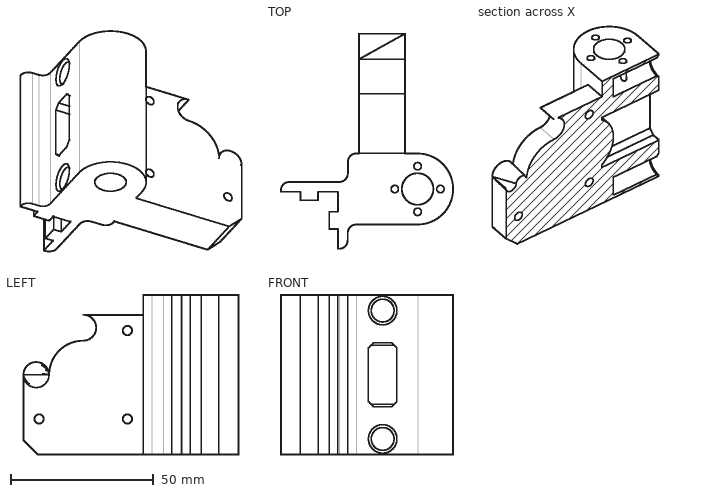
import cadquery as cq


HEIGHT = 56.0
MID_HEIGHT = HEIGHT / 2
BODY_RADIUS = 12.5
BODY_LEFT = -24.5
BORE_DIAMETER = 11.0
PIN_DIAMETER = 2.6
PIN_CIRCLE_RADIUS = 8.0
PIN_COUNT = 4
PIN_DEPTH = 10.0

FLANGE_THICKNESS = 3.5
FLANGE_LENGTH = 20.0
FLANGE_TOP = 2.5
FILLET_RADIUS = 3.0
CORNER_X = BODY_LEFT - FLANGE_THICKNESS
CORNER_Y = FLANGE_TOP - FLANGE_THICKNESS
KEY_WIDTH = 6.2
KEY_DEPTH = 3.0
KEY_OFFSET = FLANGE_LENGTH / 2

FRONT_X = BODY_LEFT / 2
SCREW_DIAMETER = 8.0
SCREW_CHAMFER = 1.0
SCREW_DEPTH = 20.0
SCREW_SPACING = 45.0
WINDOW_WIDTH = 10.0
WINDOW_HEIGHT = 22.6
WINDOW_CHAMFER = 1.9
CORE_RADIUS = 13.0
CORE_HALF_HEIGHT = 10.4

PLATE_LEFT = -20.6
PLATE_THICKNESS = 16.2
PLATE_HEIGHT = 49.0
PLATE_BACK = 54.5
PLATE_CHAMFER = 5.0
MOTOR_Y = 33.5
MOTOR_HOLE_SPACING = 31.0
MOTOR_HOLE_DIAMETER = 3.2
HOOK_RADIUS = 4.5
SWEEP_RADIUS = 12.0
TIP_RADIUS = 4.5
APEX_RADIUS = 0.01


def make_body():
    """Round-ended body with its two flanges, keys and vertical bore."""
    block = cq.Workplane("XY").rect(-BODY_LEFT, 2 * BODY_RADIUS).extrude(HEIGHT)
    block = block.translate((BODY_LEFT / 2, 0, 0))
    block = block.union(cq.Workplane("XY").circle(BODY_RADIUS).extrude(HEIGHT))

    outer_x = CORNER_X - FLANGE_LENGTH
    outer_y = CORNER_Y - FLANGE_LENGTH
    flanges = (
        cq.Workplane("XY")
        .moveTo(outer_x, CORNER_Y)
        .lineTo(CORNER_X, CORNER_Y)
        .lineTo(CORNER_X, outer_y)
        .lineTo(BODY_LEFT, outer_y)
        .lineTo(BODY_LEFT, FLANGE_TOP)
        .lineTo(outer_x, FLANGE_TOP)
        .close()
        .extrude(HEIGHT)
    )
    body = block.union(flanges).clean()

    rounded_corners = [
        (outer_x, FLANGE_TOP),
        (BODY_LEFT, FLANGE_TOP),
        (BODY_LEFT, BODY_RADIUS),
        (BODY_LEFT, -BODY_RADIUS),
        (BODY_LEFT, outer_y),
    ]
    for x, y in rounded_corners:
        corner_edge = cq.selectors.NearestToPointSelector((x, y, MID_HEIGHT))
        body = body.edges("|Z").edges(corner_edge).fillet(FILLET_RADIUS)

    long_key = cq.Workplane("XY").center(CORNER_X - KEY_OFFSET, CORNER_Y - KEY_DEPTH / 2)
    body = body.union(long_key.rect(KEY_WIDTH, KEY_DEPTH).extrude(HEIGHT))
    side_key = cq.Workplane("XY").center(CORNER_X - KEY_DEPTH / 2, CORNER_Y - KEY_OFFSET)
    body = body.union(side_key.rect(KEY_DEPTH, KEY_WIDTH).extrude(HEIGHT))

    return body.cut(cq.Workplane("XY").circle(BORE_DIAMETER / 2).extrude(HEIGHT))


def make_pin_holes():
    """Blind holes spaced around the bore, sunk from the top face."""
    return (
        cq.Workplane("XY", origin=(0, 0, HEIGHT))
        .polarArray(PIN_CIRCLE_RADIUS, 0, 360, PIN_COUNT)
        .circle(PIN_DIAMETER / 2)
        .extrude(-PIN_DEPTH)
    )


def front_plane():
    """Plane on the front face of the body; its positive extrusions point outward."""
    return cq.Workplane("XZ", origin=(FRONT_X, -BODY_RADIUS, MID_HEIGHT))


def make_screw_holes():
    """Two blind holes with countersunk mouths in the front face."""
    centres = [(0, -SCREW_SPACING / 2), (0, SCREW_SPACING / 2)]
    radius = SCREW_DIAMETER / 2
    holes = front_plane().pushPoints(centres).circle(radius).extrude(-SCREW_DEPTH)
    for x, z in centres:
        mouth = (
            front_plane()
            .center(x, z)
            .circle(radius + SCREW_CHAMFER)
            .workplane(offset=-SCREW_CHAMFER)
            .circle(radius)
            .loft()
        )
        holes = holes.union(mouth)
    return holes


def make_window():
    """Octagonal window as deep as the body, with a rounded core bulging from its floor."""
    depth = 2 * BODY_RADIUS
    window = front_plane().rect(WINDOW_WIDTH, WINDOW_HEIGHT).extrude(-depth)
    window = window.edges("|Y").chamfer(WINDOW_CHAMFER)
    core = (
        cq.Workplane("YZ", origin=(FRONT_X, 0, MID_HEIGHT))
        .moveTo(BODY_RADIUS, -CORE_HALF_HEIGHT)
        .radiusArc((BODY_RADIUS, CORE_HALF_HEIGHT), CORE_RADIUS)
        .close()
        .extrude(WINDOW_WIDTH, both=True)
    )
    return window.cut(core)


def half_disc(x, y, radius, bulge):
    """Half-disc outline across X, standing on the mid-height plane."""
    return (
        cq.Workplane("YZ", origin=(x, y, MID_HEIGHT))
        .moveTo(-radius, 0)
        .threePointArc((0, bulge * radius), (radius, 0))
        .close()
        .wires()
        .val()
    )


def half_cone(base_x, apex_x, apex_y, bulge):
    """Half of an oblique cone lying on the mid-height plane; bulge is +1 up or -1 down."""
    base = half_disc(base_x, PLATE_BACK - TIP_RADIUS, TIP_RADIUS, bulge)
    apex = half_disc(apex_x, apex_y, APEX_RADIUS, bulge)
    return cq.Workplane(cq.Solid.makeLoft([base, apex], True))


def make_plate():
    """Motor plate with a hooked upper edge, twisted cone tip and screw holes."""
    hook_bottom = PLATE_HEIGHT - 2 * HOOK_RADIUS
    hook_mid = PLATE_HEIGHT - HOOK_RADIUS
    plate = (
        cq.Workplane("YZ", origin=(PLATE_LEFT, 0, 0))
        .moveTo(BODY_RADIUS, 0)
        .lineTo(PLATE_BACK - PLATE_CHAMFER, 0)
        .lineTo(PLATE_BACK, PLATE_CHAMFER)
        .lineTo(PLATE_BACK, MID_HEIGHT)
        .lineTo(MOTOR_Y + SWEEP_RADIUS, MID_HEIGHT)
        .radiusArc((MOTOR_Y, hook_bottom), -SWEEP_RADIUS)
        .threePointArc((MOTOR_Y - HOOK_RADIUS, hook_mid), (MOTOR_Y, PLATE_HEIGHT))
        .lineTo(BODY_RADIUS, PLATE_HEIGHT)
        .close()
        .extrude(PLATE_THICKNESS)
    )

    plate_right = PLATE_LEFT + PLATE_THICKNESS
    plate = plate.cut(half_cone(PLATE_LEFT, plate_right, PLATE_BACK - APEX_RADIUS, -1))
    plate = plate.union(half_cone(plate_right, PLATE_LEFT, MOTOR_Y + SWEEP_RADIUS + APEX_RADIUS, 1))

    half = MOTOR_HOLE_SPACING / 2
    holes = (
        cq.Workplane("YZ", origin=(PLATE_LEFT, MOTOR_Y, MID_HEIGHT))
        .pushPoints([(-half, -half), (half, -half), (-half, half)])
        .circle(MOTOR_HOLE_DIAMETER / 2)
        .extrude(PLATE_THICKNESS)
    )
    return plate.cut(holes)


body = make_body().cut(make_pin_holes()).cut(make_screw_holes())
result = body.union(make_plate()).cut(make_window())